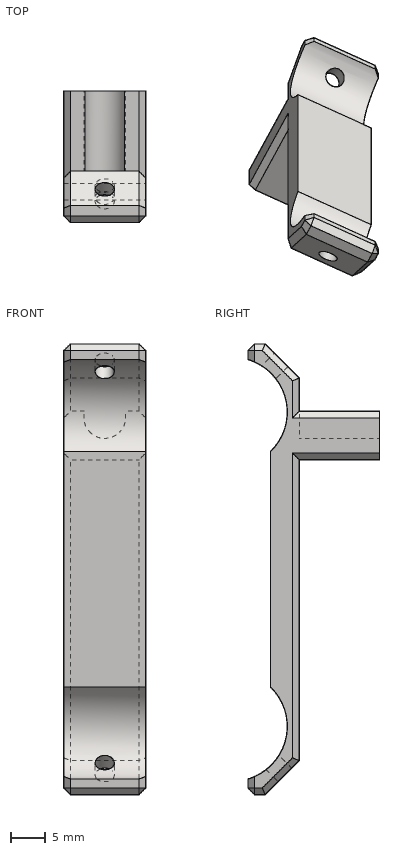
import cadquery as cq

width = 12.0
height = 66.0
depth = 19.28
edge_chamfer = 1.0

arm_length = 11.75
tip_reach = depth - arm_length
plate_thickness = 4.25
corner_cut = 5.0

cradle_radius = 8.0
cradle_wall = 1.78
cradle_end_distance = 10.0
cradle_y = -(cradle_wall + cradle_radius)
cradle_z = height / 2 - cradle_end_distance

screw_diameter = 2.8
upper_screw_offset = 2.65
lower_screw_offset = 2.1

arm_drop = 9.85
arm_top = height / 2 - arm_drop
arm_height = 7.15
channel_radius = 3.05
channel_depth_to_axis = 0.95


def make_plate_blank():
    """Strip as deep as the tips, with sloped back corners and chamfered sides and tip edges."""
    half = height / 2
    outline = [
        (0, -half + corner_cut),
        (-corner_cut, -half),
        (-tip_reach, -half),
        (-tip_reach, half),
        (-corner_cut, half),
        (0, half - corner_cut),
    ]
    blank = cq.Workplane("YZ").polyline(outline).close().extrude(width / 2, both=True)
    side_edges = blank.faces("<X or >X").edges()
    tip_edges = blank.faces("<Y").edges("|X")
    return blank.newObject(side_edges.add(tip_edges).vals()).chamfer(edge_chamfer)


def make_arm():
    """Bar along +Y with four chamfered long edges, reaching into the plate by its chamfer."""
    bar_length = arm_length + edge_chamfer
    bar = cq.Workplane("XY").box(width, bar_length, arm_height, centered=(True, False, False))
    bar = bar.edges("|Y").chamfer(edge_chamfer)
    return bar.translate((0, -edge_chamfer, arm_top - arm_height))


def make_front_recess():
    """Block that sets the plate's front face back between the two cradles."""
    recess_depth = tip_reach - plate_thickness
    recess = cq.Workplane("XY").box(width, recess_depth, 2 * cradle_z)
    return recess.translate((0, -plate_thickness - recess_depth / 2, 0))


def make_cradle(z):
    """Cylinder along X that forms the trough centred at height z."""
    return (
        cq.Workplane("YZ")
        .center(cradle_y, z)
        .circle(cradle_radius)
        .extrude(width / 2, both=True)
    )


def make_screw_hole(end, offset):
    """Drill along the normal of a sloped corner face; end is +1 for the upper end, -1 for the lower."""
    entry = cq.Vector(0, -offset, end * (height / 2 - corner_cut + offset))
    outward = cq.Vector(0, 1, end).normalized()
    start = entry + outward * screw_diameter
    drill_length = screw_diameter + cradle_radius
    drill = cq.Solid.makeCylinder(screw_diameter / 2, drill_length, start, outward * -1)
    return cq.Workplane(obj=drill)


def make_channel():
    """Cylinder along the arm, from its free end to the plate's back face."""
    axis_z = arm_top - channel_depth_to_axis
    return cq.Workplane("XZ").center(0, axis_z).circle(channel_radius).extrude(-arm_length)


result = make_plate_blank().cut(make_front_recess())
for end in (1, -1):
    result = result.cut(make_cradle(end * cradle_z))
result = result.cut(make_screw_hole(1, upper_screw_offset))
result = result.cut(make_screw_hole(-1, lower_screw_offset))
result = result.union(make_arm()).cut(make_channel())